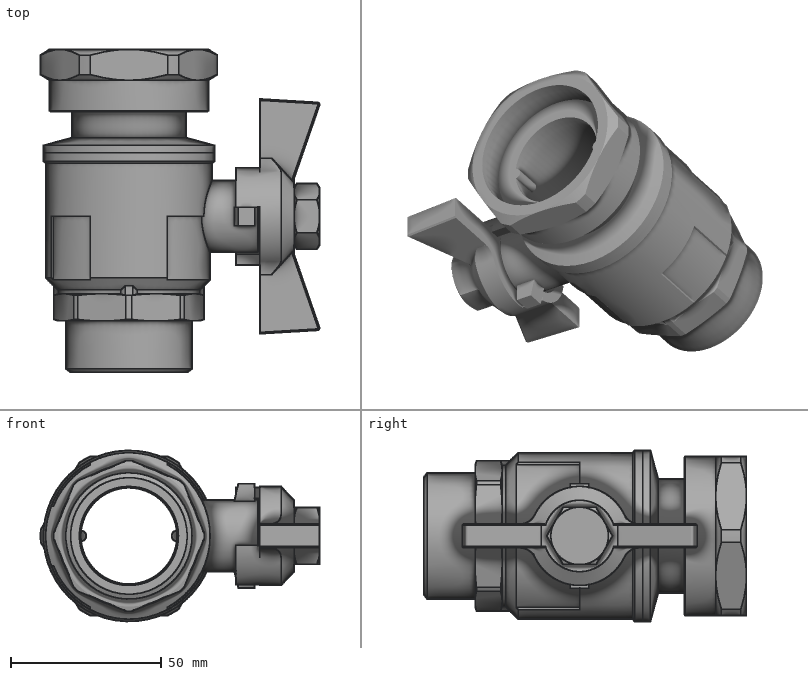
import cadquery as cq
import math


thread_end_y = -51.95
thread_chamfer_length = 1.2
octagon_start_y = -34.8
octagon_end_y = -25.8
cone_small_y = -24.5
cone_large_y = -20.4
flange_neck_y = 17.7
flange_start_y = 18.3
cap_joint_y = 21.1

housing_bore_radius = 16.5
thread_radius = 21.0
thread_mouth_radius = 19.4
groove_radius = 23.7
body_radius = 27.7
flange_radius = 28.5

octagon_across_flats = 47.0
octagon_corner_radius = 25.05
octagon_chamfer_length = 0.5

rib_count = 4
rib_half_width = 1.2
rib_root_half_width = 2.7
rib_start_y = -23.0

recess_floor_radius = 27.0
recess_start_y = -22.0
recess_end_y = 0.0
recess_inner_x = 12.8
land_half_height = 9.9

boss_radius = 12.0
boss_chamfer = 0.4
boss_land_radius = 11.4
boss_land_height = 0.4
handle_base_x = 43.6
lug_half_width = 3.1
lug_tip_radius = 17.4
lug_root_radius = 11.0
lug_root_x = 34.9
lug_tip_x = 36.4
lug_end_x = 41.8

cap_rim_end_y = 23.6
cap_cone_end_y = 26.2
neck_radius = 19.0
cap_bore_radius = 16.0
collar_radius = 22.7
collar_cone_start_y = 35.1
collar_cone_end_y = 37.8
collar_end_y = 45.3
key_radius = 1.8
key_length = 10.0

nut_start_y = 34.8
nut_hex_start_y = collar_end_y
nut_end_y = 55.55
nut_across_flats = 53.0
nut_corner_radius = 29.46
nut_chamfer_length = 1.9
nut_rim_chamfer = 0.4

hub_radius = 16.5
hub_end_x = 55.0
hub_end_radius = 11.9
hub_cone_start_x = 47.5
wing_half_thickness = 4.0
wing_blend_radius = 5.4
wing_base_half_span = 39.1
wing_tip_half_span = 37.9
wing_tip_x = 63.75
wing_root_half_span = 12.7
wing_corner_radius = 0.8
wing_edge_chamfer = 0.5
skirt_start_x = 35.6
skirt_inner_radius = 13.0
skirt_end_offset = lug_half_width

handle_nut_across_flats = 19.0
handle_nut_end_x = 63.45
handle_nut_chamfer_length = 0.9
handle_nut_chamfer_depth = 1.4


def revolve_about_y(points):
    """Revolve a closed (radius, y) outline about the Y axis."""
    return cq.Workplane("XY").polyline(points).close().revolve(360, (0, 0, 0), (0, 1, 0))


def revolve_about_x(points):
    """Revolve a closed (x, radius) outline about the X axis."""
    return cq.Workplane("XY").polyline(points).close().revolve(360, (0, 0, 0), (1, 0, 0))


def cylinder_y(radius, start_y, end_y):
    return cq.Workplane("XZ", origin=(0, start_y, 0)).circle(radius).extrude(start_y - end_y)


def cylinder_x(radius, start_x, end_x):
    return cq.Workplane("YZ", origin=(start_x, 0, 0)).circle(radius).extrude(end_x - start_x)


def block(x_range, y_range, z_range):
    """Box between two coordinates on each axis."""
    spans = (x_range, y_range, z_range)
    sizes = [high - low for low, high in spans]
    corner = tuple(low for low, high in spans)
    return cq.Workplane("XY").box(*sizes, centered=False).translate(corner)


def chamfered_prism_y(sides, across_flats, corner_radius, start_y, end_y, chamfer_length):
    """Polygon prism with a corner on +X, its corners turned round and both ends coned."""
    prism = (
        cq.Workplane("XZ", origin=(0, start_y, 0))
        .polygon(sides, across_flats / math.cos(math.pi / sides))
        .extrude(start_y - end_y)
    )
    end_radius = across_flats / 2
    envelope = revolve_about_y([
        (0, start_y),
        (end_radius, start_y),
        (corner_radius, start_y + chamfer_length),
        (corner_radius, end_y - chamfer_length),
        (end_radius, end_y),
        (0, end_y),
    ])
    return prism.intersect(envelope)


def make_housing_shell():
    return revolve_about_y([
        (0, thread_end_y),
        (thread_mouth_radius, thread_end_y),
        (thread_radius, thread_end_y + thread_chamfer_length),
        (thread_radius, octagon_end_y),
        (groove_radius, octagon_end_y),
        (groove_radius, cone_small_y),
        (body_radius, cone_large_y),
        (body_radius, flange_neck_y),
        (flange_radius, flange_start_y),
        (flange_radius, cap_joint_y),
        (0, cap_joint_y),
    ])


def make_recess_cutter():
    """Ring sectors: one wide sector on +X, two on -X with a plain land between them."""
    reach = 2 * body_radius
    y_range = (recess_start_y, recess_end_y)
    sectors = block((recess_inner_x, reach), y_range, (-reach, reach))
    sectors = sectors.union(block((-reach, -recess_inner_x), y_range, (land_half_height, reach)))
    sectors = sectors.union(block((-reach, -recess_inner_x), y_range, (-reach, -land_half_height)))
    return sectors.cut(cylinder_y(recess_floor_radius, recess_start_y, recess_end_y))


def make_rib(angle):
    """Rib with sloped flanks on the octagon corner at the given angle about Y."""
    root_radius = octagon_corner_radius - (rib_root_half_width - rib_half_width)
    rib = (
        cq.Workplane("XZ", origin=(0, octagon_end_y - octagon_chamfer_length, 0))
        .polyline([
            (thread_radius, -rib_root_half_width),
            (root_radius, -rib_root_half_width),
            (octagon_corner_radius, -rib_half_width),
            (octagon_corner_radius, rib_half_width),
            (root_radius, rib_root_half_width),
            (thread_radius, rib_root_half_width),
        ])
        .close()
        .extrude(octagon_end_y - octagon_chamfer_length - rib_start_y)
    )
    return rib.rotate((0, 0, 0), (0, 1, 0), angle)


def make_boss():
    """Stem boss with a chamfered end and a low land that the handle rests on."""
    boss = cylinder_x(boss_radius, housing_bore_radius, handle_base_x - boss_land_height)
    boss = boss.faces(">X").chamfer(boss_chamfer)
    return boss.union(cylinder_x(boss_land_radius, housing_bore_radius, handle_base_x))


def make_stop_lug(side):
    """Lug standing on the boss toward +Z (side 1) or -Z (side -1)."""
    return (
        cq.Workplane("XZ", origin=(0, lug_half_width, 0))
        .polyline([
            (lug_root_x, side * lug_root_radius),
            (lug_tip_x, side * lug_tip_radius),
            (lug_end_x, side * lug_tip_radius),
            (lug_end_x, side * lug_root_radius),
        ])
        .close()
        .extrude(2 * lug_half_width)
    )


def make_housing():
    housing = make_housing_shell()
    housing = housing.cut(make_recess_cutter())
    housing = housing.union(chamfered_prism_y(
        8, octagon_across_flats, octagon_corner_radius,
        octagon_start_y, octagon_end_y, octagon_chamfer_length,
    ))
    for index in range(rib_count):
        housing = housing.union(make_rib(index * 360 / rib_count))
    housing = housing.union(make_boss())
    for side in (1, -1):
        housing = housing.union(make_stop_lug(side))
    return housing.cut(cylinder_y(housing_bore_radius, thread_end_y, cap_joint_y))


def make_cap():
    """Cap whose neck flares into a collar inside the nut, with two inner keys for a wrench."""
    cap = revolve_about_y([
        (cap_bore_radius, cap_joint_y),
        (flange_radius, cap_joint_y),
        (flange_radius, cap_rim_end_y),
        (neck_radius, cap_cone_end_y),
        (neck_radius, collar_cone_start_y),
        (collar_radius, collar_cone_end_y),
        (collar_radius, collar_end_y),
        (cap_bore_radius, collar_end_y),
    ])
    for side in (1, -1):
        key = cylinder_y(key_radius, collar_end_y - key_length, collar_end_y)
        cap = cap.union(key.translate((side * cap_bore_radius, 0, 0)))
    return cap


def make_union_nut():
    nut = cylinder_y(nut_across_flats / 2, nut_start_y, nut_end_y)
    nut = nut.faces("<Y").chamfer(nut_rim_chamfer)
    nut = nut.union(chamfered_prism_y(
        6, nut_across_flats, nut_corner_radius, nut_hex_start_y, nut_end_y, nut_chamfer_length,
    ))
    return nut.cut(cylinder_y(collar_radius, nut_start_y, nut_end_y))


def make_hub():
    """Hub with concave blends running out onto both wings, under one coned outer end."""
    blend_center_z = wing_half_thickness + wing_blend_radius
    blend_center_distance = hub_radius + wing_blend_radius
    blend_center_y = math.sqrt(blend_center_distance**2 - blend_center_z**2)
    blend_top_z = blend_center_z * hub_radius / blend_center_distance

    blend = block(
        (handle_base_x, hub_end_x),
        (-blend_center_y, blend_center_y),
        (-blend_top_z, blend_top_z),
    )
    for y_side in (1, -1):
        for z_side in (1, -1):
            hollow = cylinder_x(wing_blend_radius, handle_base_x, hub_end_x)
            blend = blend.cut(hollow.translate((0, y_side * blend_center_y, z_side * blend_center_z)))

    envelope = revolve_about_x([
        (handle_base_x, 0),
        (handle_base_x, blend_center_y),
        (hub_cone_start_x, blend_center_y),
        (hub_end_x, hub_end_radius),
        (hub_end_x, 0),
    ])
    return cylinder_x(hub_radius, handle_base_x, hub_end_x).union(blend).intersect(envelope)


def make_wings():
    """Butterfly plate: both wings in one piece, passing through the hub."""
    plate = (
        cq.Workplane("XY", origin=(0, 0, -wing_half_thickness))
        .polyline([
            (handle_base_x, -wing_base_half_span),
            (handle_base_x, wing_base_half_span),
            (wing_tip_x, wing_tip_half_span),
            (hub_end_x, wing_root_half_span),
            (hub_end_x, -wing_root_half_span),
            (wing_tip_x, -wing_tip_half_span),
        ])
        .close()
        .extrude(2 * wing_half_thickness)
    )
    plate = plate.edges("|Z and >X").fillet(wing_corner_radius)
    return plate.faces("<Z or >Z").edges("not <X").chamfer(wing_edge_chamfer)


def make_skirt():
    """Two opposite quarters of a ring; their ends meet the stop lugs."""
    ring = cylinder_x(hub_radius, skirt_start_x, handle_base_x)
    ring = ring.cut(cylinder_x(skirt_inner_radius, skirt_start_x, handle_base_x))
    x_range = (skirt_start_x, handle_base_x)
    upper = (skirt_end_offset, hub_radius)
    lower = (-hub_radius, -skirt_end_offset)
    quarters = block(x_range, upper, upper).union(block(x_range, lower, lower))
    return ring.intersect(quarters)


def make_handle():
    return make_hub().union(make_wings()).union(make_skirt())


def make_handle_nut():
    corner_radius = handle_nut_across_flats / math.sqrt(3)
    end_radius = corner_radius - handle_nut_chamfer_depth
    hexagon = (
        cq.Workplane("YZ", origin=(hub_end_x, 0, 0))
        .polygon(6, 2 * corner_radius)
        .extrude(handle_nut_end_x - hub_end_x)
    )
    envelope = revolve_about_x([
        (hub_end_x, 0),
        (hub_end_x, end_radius),
        (hub_end_x + handle_nut_chamfer_length, corner_radius),
        (handle_nut_end_x - handle_nut_chamfer_length, corner_radius),
        (handle_nut_end_x, end_radius),
        (handle_nut_end_x, 0),
    ])
    return hexagon.intersect(envelope)


housing = make_housing()
cap = make_cap()
union_nut = make_union_nut()
handle = make_handle()
handle_nut = make_handle_nut()

result = cq.Compound.makeCompound([
    housing.val(),
    cap.val(),
    union_nut.val(),
    handle.val(),
    handle_nut.val(),
])